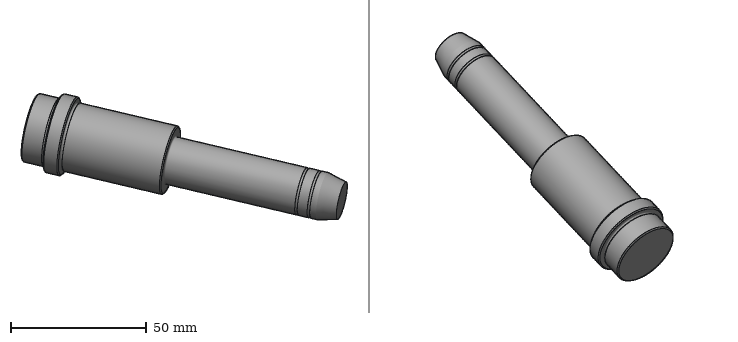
import cadquery as cq

total_length = 120.0
body_diameter = 26.0
collar_diameter = 30.0
pin_diameter = 18.0
tip_diameter = 14.3

collar_start = 9.0
collar_end = 15.0
body_end = 54.0
taper_start = 112.8

head_chamfer = 0.5
collar_chamfer = 0.5
body_end_chamfer = 0.5
pin_root_fillet = 0.5

groove_radius = 0.5
relief_centers = (collar_start - groove_radius, collar_end + groove_radius)
pin_groove_centers = (105.0, 109.8)

AXIS_START = (0, 0, 0)
AXIS_END = (1, 0, 0)


def cylinder(start, end, diameter):
    """Solid cylinder on the X axis between two positions."""
    return cq.Workplane("YZ", origin=(start, 0, 0)).circle(diameter / 2).extrude(end - start)


def round_groove(center, surface_diameter):
    """Torus that cuts a half-round groove into a cylinder of the given diameter."""
    return (
        cq.Workplane("XY")
        .moveTo(center, surface_diameter / 2)
        .circle(groove_radius)
        .revolve(360, AXIS_START, AXIS_END)
    )


body = cylinder(0, body_end, body_diameter)
body = body.faces("<X").chamfer(head_chamfer)
body = body.faces(">X").chamfer(body_end_chamfer)

for relief_center in relief_centers:
    body = body.cut(round_groove(relief_center, body_diameter))

collar = cylinder(collar_start, collar_end, collar_diameter)
collar = collar.faces("<X or >X").chamfer(collar_chamfer)

pin = cylinder(body_end, taper_start, pin_diameter)
for groove_center in pin_groove_centers:
    pin = pin.cut(round_groove(groove_center, pin_diameter))

pin_radius = pin_diameter / 2
root_fillet = (
    cq.Workplane("XY")
    .moveTo(body_end, pin_radius)
    .lineTo(body_end + pin_root_fillet, pin_radius)
    .radiusArc((body_end, pin_radius + pin_root_fillet), pin_root_fillet)
    .close()
    .revolve(360, AXIS_START, AXIS_END)
)

tip = (
    cq.Workplane("YZ", origin=(taper_start, 0, 0))
    .circle(pin_radius)
    .workplane(offset=total_length - taper_start)
    .circle(tip_diameter / 2)
    .loft(ruled=True)
)

result = body.union(collar).union(pin).union(root_fillet).union(tip)